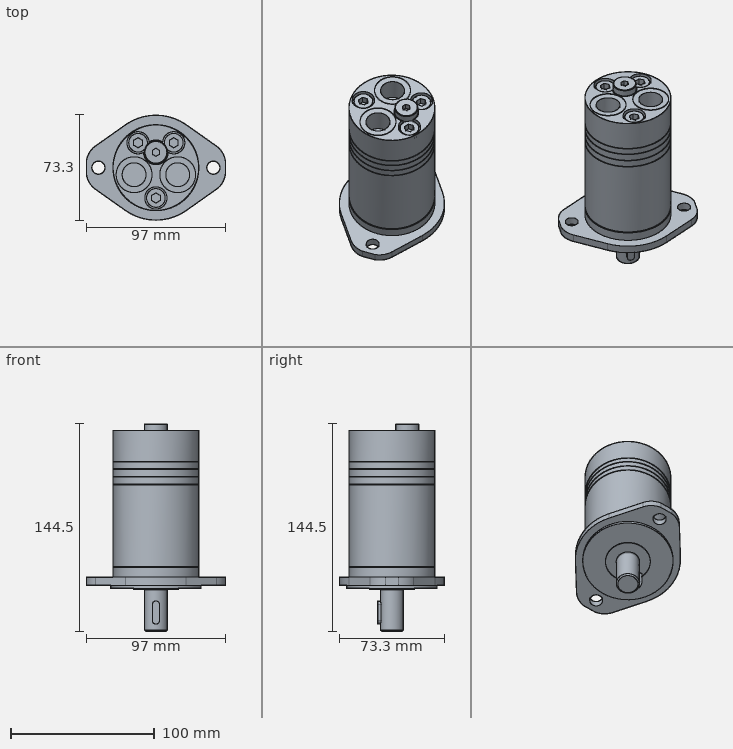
import cadquery as cq
import math

total_height = 144.5
body_top = 140.0
flange_top = 37.9
flange_bottom = 32.1
pilot_bottom = 29.9
seal_boss_bottom = 29.3
shaft_neck_bottom = 28.5

body_diameter = 60.0
body_radius = body_diameter / 2
body_top_chamfer = 0.1
joint_levels = [118.0, 113.1, 107.7, 102.3]
joint_groove_width = 0.5
joint_groove_depth = 0.22
cover_groove_level = 44.8
cover_groove_width = 0.9
cover_groove_depth = 0.5
pilot_radius = 31.5
seal_boss_radius = 15.6

flange_length = 97.0
flange_width = 73.3
flange_end_width = 9.2
flange_shoulder_x = 42.0
flange_side_angle = 54.8
mount_hole_spacing = 80.0
mount_hole_diameter = 9.0

shaft_radius = 8.02
shaft_neck_flare = 0.1
shaft_end_chamfer = 1.0
key_width = 5.0
key_length = 16.0
key_height = 5.0
key_outer_face = 10.0
key_centre_level = 13.1

port_x = 15.2
port_y = -4.9
port_diameter = 16.6
port_depth = 17.3
spotface_diameter = 25.0
spotface_depth = 0.5

screw_places = [(-12.4, 17.3), (12.4, 17.3), (0, -21.1)]
counterbore_diameter = 15.5
counterbore_depth = 3.6
screw_head_diameter = 13
screw_head_drop = 1.2
screw_hex_flats = 6.0
screw_hex_depth = 5.0

plug_place = (0, 10.7)
plug_diameter = 16.0
plug_chamfer = 0.5
plug_recess_diameter = 17.2
plug_recess_depth = 0.7
plug_hex_flats = 4.9
plug_hex_depth = 4.3


def cylinder(radius, bottom, top, place=(0, 0)):
    """Upright cylinder between two levels."""
    return cq.Workplane("XY", origin=(*place, bottom)).circle(radius).extrude(top - bottom)


def hex_socket(across_flats, top, depth, place):
    """Hexagonal prism with corners pointing along +Y and -Y."""
    across_corners = across_flats / math.cos(math.pi / 6)
    return (
        cq.Workplane("XY", origin=(*place, top))
        .transformed(rotate=(0, 0, 90))
        .polygon(6, across_corners)
        .extrude(-depth)
    )


def v_groove(level, width, depth):
    """Ring with a pointed inner edge that cuts a V-groove around the housing."""
    return (
        cq.Workplane("XZ")
        .moveTo(body_radius, level - width / 2)
        .lineTo(body_radius - depth, level)
        .lineTo(body_radius, level + width / 2)
        .lineTo(body_radius + depth, level + width / 2)
        .lineTo(body_radius + depth, level - width / 2)
        .close()
        .revolve(360, (0, 0, 0), (0, 1, 0))
    )


def make_flange():
    """Plate with two large arcs and two blunt ears, joined by straight sides tangent to the arcs."""
    half_length = flange_length / 2
    main_radius = flange_width / 2
    side_angle = math.radians(flange_side_angle)
    arc_middle_angle = (side_angle + math.pi / 2) / 2

    def main_arc(angle):
        return main_radius * math.cos(angle), main_radius * math.sin(angle)

    shoulder_y = (main_radius - flange_shoulder_x * math.cos(side_angle)) / math.sin(side_angle)

    quarter = (
        cq.Workplane("XY", origin=(0, 0, flange_bottom))
        .moveTo(0, main_radius)
        .threePointArc(main_arc(arc_middle_angle), main_arc(side_angle))
        .lineTo(flange_shoulder_x, shoulder_y)
        .tangentArcPoint((half_length, flange_end_width / 2), relative=False)
        .lineTo(half_length, 0)
        .lineTo(0, 0)
        .close()
        .extrude(flange_top - flange_bottom)
    )
    half = quarter.union(quarter.mirror("YZ"))
    plate = half.union(half.mirror("XZ")).clean()
    for side in (-1, 1):
        place = (side * mount_hole_spacing / 2, 0)
        plate = plate.cut(cylinder(mount_hole_diameter / 2, flange_bottom, flange_top, place))
    return plate


def make_barrel():
    """Housing cylinder with the V-grooves at the joints of its sections."""
    barrel = cylinder(body_radius, flange_bottom, body_top).faces(">Z").chamfer(body_top_chamfer)
    for level in joint_levels:
        barrel = barrel.cut(v_groove(level, joint_groove_width, joint_groove_depth))
    return barrel.cut(v_groove(cover_groove_level, cover_groove_width, cover_groove_depth))


def make_shaft():
    """Output shaft, slightly flared where it leaves the seal boss."""
    return (
        cq.Workplane("XZ")
        .lineTo(shaft_radius - shaft_end_chamfer, 0)
        .lineTo(shaft_radius, shaft_end_chamfer)
        .lineTo(shaft_radius, shaft_neck_bottom)
        .lineTo(shaft_radius + shaft_neck_flare, seal_boss_bottom)
        .lineTo(shaft_radius + shaft_neck_flare, flange_bottom)
        .lineTo(0, flange_bottom)
        .close()
        .revolve(360, (0, 0, 0), (0, 1, 0))
    )


def make_key():
    """Round-ended parallel key on the -Y side of the shaft."""
    return (
        cq.Workplane("XZ", origin=(0, -key_outer_face, key_centre_level))
        .slot2D(key_length, key_width, 90)
        .extrude(-key_height)
    )


def cut_ports(motor):
    """Two spotfaced oil ports."""
    for side in (-1, 1):
        place = (side * port_x, port_y)
        motor = motor.cut(cylinder(spotface_diameter / 2, body_top - spotface_depth, body_top, place))
        motor = motor.cut(cylinder(port_diameter / 2, body_top - port_depth, body_top, place))
    return motor


def add_screws(motor):
    """Counterbores with socket-head screws sunk below the top face."""
    head_top = body_top - screw_head_drop
    counterbore_floor = body_top - counterbore_depth
    for place in screw_places:
        motor = motor.cut(cylinder(counterbore_diameter / 2, counterbore_floor, body_top, place))
    for place in screw_places:
        motor = motor.union(cylinder(screw_head_diameter / 2, counterbore_floor, head_top, place))
        motor = motor.cut(hex_socket(screw_hex_flats, head_top, screw_hex_depth, place))
    return motor


def add_plug(motor):
    """Chamfered drain plug in a shallow recess that is slightly wider than the plug."""
    plug_bottom = body_top - counterbore_depth
    recess_floor = body_top - plug_recess_depth
    plug = cylinder(plug_diameter / 2, plug_bottom, total_height, plug_place)
    plug = plug.faces(">Z").chamfer(plug_chamfer)
    motor = motor.cut(cylinder(plug_recess_diameter / 2, recess_floor, body_top, plug_place))
    motor = motor.union(plug)
    return motor.cut(hex_socket(plug_hex_flats, total_height, plug_hex_depth, plug_place))


def make_motor():
    """Motor with its flange, shaft, ports, screws and plug, and a keyway for the key."""
    motor = make_barrel().union(make_flange())
    motor = motor.union(cylinder(pilot_radius, pilot_bottom, flange_bottom))
    motor = motor.union(cylinder(seal_boss_radius, seal_boss_bottom, flange_bottom))
    motor = motor.union(make_shaft())
    motor = cut_ports(motor)
    motor = add_screws(motor)
    motor = add_plug(motor)
    return motor.cut(make_key())


motor = make_motor()
key = make_key()

result = cq.Compound.makeCompound([motor.val(), key.val()])